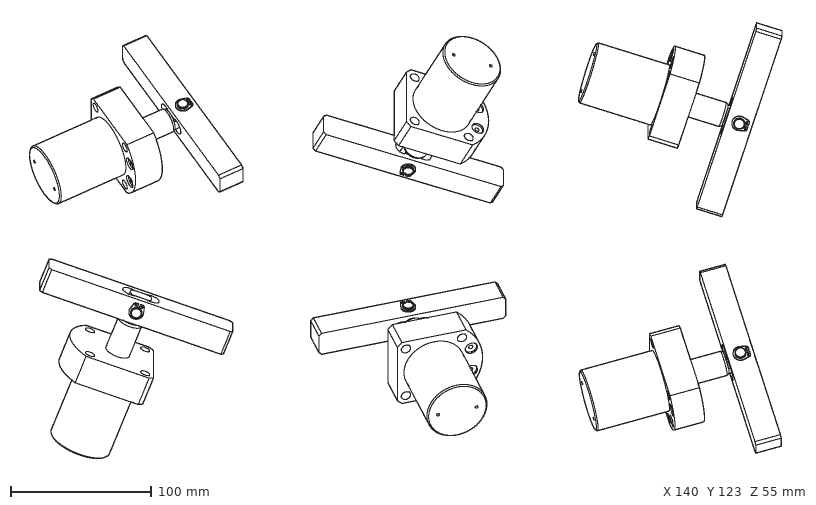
import cadquery as cq
import math


barrel_diameter = 45.0
barrel_length = 54.0
barrel_chamfer = 1.0
flange_thickness = 22.0
flange_half_size = 27.5
flange_nose_radius = 36.5
flange_corner_chamfer = 3.5
mount_hole_diameter = 6.8
mount_hole_offset = 21.0
port_x = 28.0
port_z = 10.0
port_seat_diameter = 9.0
port_seat_depth = 1.5
port_diameter = 3.0
port_depth = 10.0

cap_diameter = barrel_diameter - 2 * barrel_chamfer
cap_thickness = 8.0
spanner_hole_diameter = 2.0
spanner_hole_depth = 4.0
spanner_hole_offset = 14.4
drill_tip_angle = 118.0

arm_length = 140.0
arm_section = 19.0
arm_end_chamfer = 2.0
flange_arm_distance = 28.0
arm_rear_y = flange_thickness + flange_arm_distance
arm_slot_end_diameter = 11.0
arm_slot_end_x = 8.3

rod_diameter = 18.0
rod_tip_chamfer = 1.0
rod_tip_chamfer_length = 1.8
rod_arm_gap = 1.3
tongue_diameter = rod_diameter - 2 * rod_tip_chamfer
tongue_thickness = 9.0
rod_shoulder_y = arm_rear_y - rod_arm_gap
rod_rear_y = cap_thickness - barrel_length
tongue_length = rod_arm_gap + arm_section

pin_diameter = 8.0
pin_length = 23.5
pin_chamfer = 0.5
pin_y = arm_rear_y + arm_section / 2

ring_thickness = 0.9
ring_bore = 7.6
ring_outer_radius = 5.3
ring_lug_reach = 6.7
ring_lug_half_width = 3.7
ring_lug_corner_radius = 1.7
ring_gap = 1.4
ring_eye_diameter = 1.3
ring_eye_x = 2.35
ring_eye_y = 5.05


def cylinder_y(diameter, y_start, y_end, x=0.0, z=0.0):
    """Cylinder along Y between two Y positions."""
    profile = cq.Workplane("XZ", origin=(x, y_start, z)).circle(diameter / 2)
    return profile.extrude(y_start - y_end)


def cylinder_z(diameter, z_start, z_end):
    """Cylinder along Z on the pivot pin axis."""
    profile = cq.Workplane("XY", origin=(0, pin_y, z_start)).circle(diameter / 2)
    return profile.extrude(z_end - z_start)


def make_flange():
    """Square plate with two chamfered corners and a round nose on the +X side."""
    size = flange_half_size
    nose_start_x = math.sqrt(flange_nose_radius**2 - size**2)
    return (
        cq.Workplane("XZ")
        .moveTo(nose_start_x, size)
        .lineTo(flange_corner_chamfer - size, size)
        .lineTo(-size, size - flange_corner_chamfer)
        .lineTo(-size, flange_corner_chamfer - size)
        .lineTo(flange_corner_chamfer - size, -size)
        .lineTo(nose_start_x, -size)
        .threePointArc((flange_nose_radius, 0), (nose_start_x, size))
        .close()
        .extrude(-flange_thickness)
    )


def make_housing():
    barrel = cylinder_y(barrel_diameter, -barrel_length, 0)
    barrel = barrel.faces("<Y").chamfer(barrel_chamfer)
    housing = barrel.union(make_flange())

    for x in (-mount_hole_offset, mount_hole_offset):
        for z in (-mount_hole_offset, mount_hole_offset):
            housing = housing.cut(cylinder_y(mount_hole_diameter, 0, flange_thickness, x, z))

    for z in (-port_z, port_z):
        housing = housing.cut(cylinder_y(port_seat_diameter, 0, port_seat_depth, port_x, z))
        housing = housing.cut(cylinder_y(port_diameter, 0, port_depth, port_x, z))

    housing = housing.cut(cylinder_y(cap_diameter, -barrel_length, rod_rear_y))
    return housing.cut(cylinder_y(rod_diameter, rod_rear_y, flange_thickness))


def make_spanner_hole(x):
    """Blind drilled hole with a conical bottom, cut from the rear face of the cap."""
    radius = spanner_hole_diameter / 2
    tip_length = radius / math.tan(math.radians(drill_tip_angle / 2))
    profile = (
        cq.Workplane("XY")
        .lineTo(radius, 0)
        .lineTo(radius, spanner_hole_depth)
        .lineTo(0, spanner_hole_depth + tip_length)
        .close()
    )
    return profile.revolve(360, (0, 0), (0, 1)).translate((x, -barrel_length, 0))


def make_end_cap():
    cap = cylinder_y(cap_diameter, -barrel_length, rod_rear_y)
    for x in (-spanner_hole_offset, spanner_hole_offset):
        cap = cap.cut(make_spanner_hole(x))
    return cap


def make_rod():
    """Round rod with a tapered shoulder and a flat-sided tongue holding the pin."""
    rod = cylinder_y(rod_diameter, rod_rear_y, rod_shoulder_y)
    rod = rod.faces(">Y").chamfer(rod_tip_chamfer_length, rod_tip_chamfer)
    tongue_flats = cq.Workplane("XY").box(
        tongue_diameter, tongue_length, tongue_thickness, centered=(True, False, True)
    )
    tongue = cylinder_y(tongue_diameter, 0, tongue_length).intersect(tongue_flats)
    rod = rod.union(tongue.translate((0, rod_shoulder_y, 0)))
    return rod.cut(cylinder_z(pin_diameter, -tongue_thickness, tongue_thickness))


def make_arm():
    """Square bar with chamfered ends, slotted for the tongue and drilled for the pin.

    The slot ends in two drilled holes a little wider than the slot itself.
    """
    arm = (
        cq.Workplane("XY", origin=(0, pin_y, 0))
        .box(arm_length, arm_section, arm_section)
        .edges("|Y")
        .chamfer(arm_end_chamfer)
    )
    slot = cq.Workplane("XY", origin=(0, pin_y, 0)).box(
        2 * arm_slot_end_x, arm_section, tongue_thickness
    )
    for x in (-arm_slot_end_x, arm_slot_end_x):
        slot = slot.union(cylinder_y(arm_slot_end_diameter, arm_rear_y, arm_rear_y + arm_section, x))
    return arm.cut(slot).cut(cylinder_z(pin_diameter, -arm_section, arm_section))


def make_pin():
    """Pin with chamfered ends and a ring groove just outside each side of the arm."""
    pin = cylinder_z(pin_diameter, -pin_length / 2, pin_length / 2)
    pin = pin.faces("<Z or >Z").chamfer(pin_chamfer)
    groove_inner = arm_section / 2
    groove_outer = groove_inner + ring_thickness
    for side in (-1, 1):
        groove = cylinder_z(pin_diameter, side * groove_inner, side * groove_outer)
        groove = groove.cut(cylinder_z(ring_bore, side * groove_inner, side * groove_outer))
        pin = pin.cut(groove)
    return pin


def make_retaining_ring(bottom_z):
    """Open ring with two plier lugs on the +Y side, lying on the plane Z = bottom_z."""
    corner_distance = math.hypot(ring_lug_half_width, ring_lug_reach)
    corner_angle = math.atan2(ring_lug_reach, ring_lug_half_width)
    tangent_angle = corner_angle - math.acos(ring_outer_radius / corner_distance)
    tangent_x = ring_outer_radius * math.cos(tangent_angle)
    tangent_y = ring_outer_radius * math.sin(tangent_angle)
    ring = (
        cq.Workplane("XY")
        .moveTo(-ring_lug_half_width, ring_lug_reach)
        .lineTo(ring_lug_half_width, ring_lug_reach)
        .lineTo(tangent_x, tangent_y)
        .threePointArc((0, -ring_outer_radius), (-tangent_x, tangent_y))
        .close()
        .extrude(ring_thickness)
        .edges("|Z and >Y")
        .fillet(ring_lug_corner_radius)
    )
    bore = cq.Workplane("XY").circle(ring_bore / 2).extrude(ring_thickness)
    eyes = (
        cq.Workplane("XY")
        .pushPoints([(-ring_eye_x, ring_eye_y), (ring_eye_x, ring_eye_y)])
        .circle(ring_eye_diameter / 2)
        .extrude(ring_thickness)
    )
    opening = cq.Workplane("XY").box(
        ring_gap, ring_lug_reach, ring_thickness, centered=(True, False, False)
    )
    ring = ring.cut(bore).cut(eyes).cut(opening)
    return ring.translate((0, pin_y, bottom_z))


housing = make_housing()
end_cap = make_end_cap()
rod = make_rod()
arm = make_arm()
pin = make_pin()
ring_bottoms = (arm_section / 2, -arm_section / 2 - ring_thickness)
rings = [make_retaining_ring(bottom_z) for bottom_z in ring_bottoms]

result = cq.Compound.makeCompound([
    housing.val(),
    end_cap.val(),
    rod.val(),
    arm.val(),
    pin.val(),
    *[ring.val() for ring in rings],
])